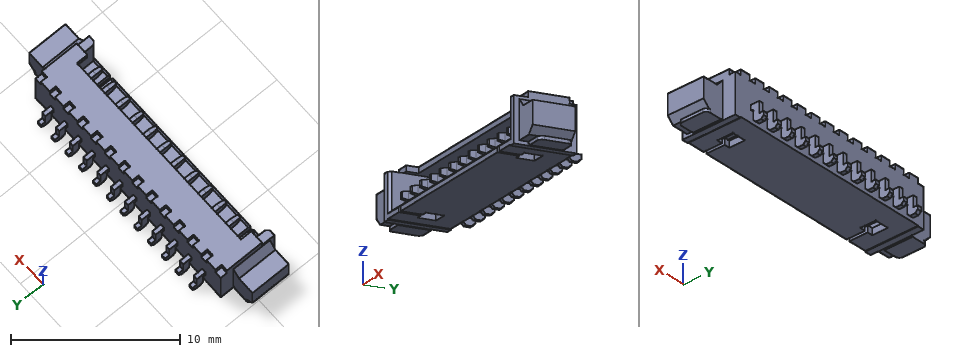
import cadquery as cq

OVERALL_LENGTH = 20.25
HOUSING_LENGTH = 16.8
HOUSING_DEPTH = 4.2
HOUSING_HEIGHT = 3.4
HALF_HOUSING = HOUSING_LENGTH / 2

ROOF_THICKNESS = 0.38
ROOF_UNDERSIDE = HOUSING_HEIGHT - ROOF_THICKNESS
END_WALL = 0.6
FLOOR_TOP = 0.57
CAVITY_DEPTH = 3.0
CAVITY_LENGTH = HOUSING_LENGTH - 2 * END_WALL
MOUTH_BEVEL = 0.18
MOUTH_BEVEL_DEPTH = 0.2
FOOT_HEIGHT = 0.06
FOOT_WIDTH = 0.49

ROOF_SETBACK = 0.97
ROOF_WINDOW_DEPTH = 1.78
ROOF_WINDOW_SIDE = 0.97
CORNER_NOTCH_WIDTH = 0.49
PIN_NOTCH_WIDTH = 0.49
NOTCH_DEPTH = 0.49

SLOT_X = 6.38
SLOT_WIDTH = 0.25
SLOT_LENGTH = 1.45
SLOT_HEAD_WIDTH = 1.07
SLOT_HEAD_END = 2.67

PIN_COUNT = 12
PIN_PITCH = 1.25
PIN_WIDTH = 0.3
BLADE_BOTTOM = 0.97
BLADE_HEIGHT = 0.6
BLADE_TIP_Y = 0.36
TIP_TAPER_LENGTH = 0.55
TIP_TAPER_RISE = 0.1
TIP_SIDE_LENGTH = 0.36
TIP_SIDE_TAPER = 0.05
LEAD_TOP = 1.34
LEAD_THICKNESS = 0.49
LEAD_GAP = 0.18
LEAD_REACH = 1.01
LEAD_TOE_HEIGHT = 0.49
LEAD_BEVEL = 0.2
LEAD_INNER_BEVEL = 0.1

EAR_FRONT_Y = 0.36
EAR_WIDTH = 2.84
EAR_TOP = 2.27
EAR_GUSSET = 0.5
EAR_GUSSET_RISE = 0.55
EAR_BEVEL = 0.49
TAB_INSET = 0.28
TAB_THICKNESS = 0.25
TAB_FRONT_Y = 0.97
TAB_CORNER_RADIUS = 0.3
TAB_HEEL = 0.15


def block(x0, x1, y0, y1, z0, z1):
    """Box between two opposite corners."""
    return cq.Workplane("XY").box(x1 - x0, y1 - y0, z1 - z0, centered=False).translate((x0, y0, z0))


def centred_block(x, width, y0, y1, z0, z1):
    """Box centred on x, as wide along X as given."""
    return block(x - width / 2, x + width / 2, y0, y1, z0, z1)


def pin_positions():
    """X of each pin, evenly spaced about the middle."""
    first = -PIN_PITCH * (PIN_COUNT - 1) / 2
    return [first + i * PIN_PITCH for i in range(PIN_COUNT)]


def make_mouth_bevel():
    """Flared lead-in that widens the cavity at both ends and over the floor towards the front face."""
    def rectangle(y, flare):
        half = CAVITY_LENGTH / 2 + flare
        corners = [
            (-half, y, FLOOR_TOP - flare),
            (half, y, FLOOR_TOP - flare),
            (half, y, ROOF_UNDERSIDE),
            (-half, y, ROOF_UNDERSIDE),
        ]
        return cq.Wire.makePolygon([cq.Vector(*corner) for corner in corners], close=True)

    sections = [rectangle(0, MOUTH_BEVEL), rectangle(MOUTH_BEVEL_DEPTH, 0)]
    return cq.Workplane(obj=cq.Solid.makeLoft(sections, True))


def make_housing():
    """Open-fronted box with its roof, rear edge and floor cut out."""
    housing = centred_block(0, HOUSING_LENGTH, 0, HOUSING_DEPTH, 0, HOUSING_HEIGHT)
    housing = housing.cut(
        centred_block(0, CAVITY_LENGTH, 0, CAVITY_DEPTH, FLOOR_TOP, ROOF_UNDERSIDE)
    ).cut(make_mouth_bevel())

    relief_length = HOUSING_LENGTH - 2 * FOOT_WIDTH
    housing = housing.cut(centred_block(0, relief_length, 0, HOUSING_DEPTH, 0, FOOT_HEIGHT))

    window_length = HOUSING_LENGTH - 2 * ROOF_WINDOW_SIDE
    for length, depth in ((HOUSING_LENGTH, ROOF_SETBACK), (window_length, ROOF_WINDOW_DEPTH)):
        housing = housing.cut(centred_block(0, length, 0, depth, ROOF_UNDERSIDE, HOUSING_HEIGHT))

    notches = [(side * (HALF_HOUSING - CORNER_NOTCH_WIDTH / 2), CORNER_NOTCH_WIDTH) for side in (-1, 1)]
    notches += [(x, PIN_NOTCH_WIDTH) for x in pin_positions()]
    notch_front = HOUSING_DEPTH - NOTCH_DEPTH
    for x, width in notches:
        housing = housing.cut(
            centred_block(x, width, notch_front, HOUSING_DEPTH, ROOF_UNDERSIDE, HOUSING_HEIGHT)
        )

    for x in (-SLOT_X, SLOT_X):
        housing = housing.cut(centred_block(x, SLOT_WIDTH, 0, SLOT_LENGTH, 0, FLOOR_TOP))
        housing = housing.cut(centred_block(x, SLOT_HEAD_WIDTH, SLOT_LENGTH, SLOT_HEAD_END, 0, FLOOR_TOP))
    return housing


def make_pin():
    """Contact at X = 0: tapered blade in the cavity, gull lead behind the housing."""
    blade_top = BLADE_BOTTOM + BLADE_HEIGHT
    taper_end = BLADE_TIP_Y + TIP_TAPER_LENGTH
    lead_inner = HOUSING_DEPTH + LEAD_GAP
    lead_outer = lead_inner + LEAD_THICKNESS
    toe = HOUSING_DEPTH + LEAD_REACH
    wall_middle = (CAVITY_DEPTH + HOUSING_DEPTH) / 2
    profile = [
        (BLADE_TIP_Y, BLADE_BOTTOM + TIP_TAPER_RISE),
        (BLADE_TIP_Y, blade_top - TIP_TAPER_RISE),
        (taper_end, blade_top),
        (wall_middle, blade_top),
        (wall_middle, LEAD_TOP),
        (lead_outer, LEAD_TOP),
        (lead_outer, LEAD_TOE_HEIGHT),
        (toe, LEAD_TOE_HEIGHT),
        (toe, LEAD_BEVEL),
        (toe - LEAD_BEVEL, 0),
        (lead_inner + LEAD_BEVEL, 0),
        (lead_inner, LEAD_BEVEL),
        (lead_inner, BLADE_BOTTOM - LEAD_INNER_BEVEL),
        (lead_inner - LEAD_INNER_BEVEL, BLADE_BOTTOM),
        (taper_end, BLADE_BOTTOM),
    ]
    pin = cq.Workplane("YZ").polyline(profile).close().extrude(PIN_WIDTH / 2, both=True)
    for side in (-1, 1):
        outer = side * PIN_WIDTH / 2
        side_taper = (
            cq.Workplane("XY")
            .polyline([
                (outer, BLADE_TIP_Y),
                (outer - side * TIP_SIDE_TAPER, BLADE_TIP_Y),
                (outer, BLADE_TIP_Y + TIP_SIDE_LENGTH),
            ])
            .close()
            .extrude(HOUSING_HEIGHT)
        )
        pin = pin.cut(side_taper)
    return pin


def make_ear():
    """Right-hand mounting ear with the solder tab under it."""
    tip = OVERALL_LENGTH / 2
    ear_profile = [
        (HALF_HOUSING, TAB_THICKNESS),
        (tip - EAR_BEVEL, TAB_THICKNESS),
        (tip, TAB_THICKNESS + EAR_BEVEL),
        (tip, EAR_TOP),
        (HALF_HOUSING + EAR_GUSSET, EAR_TOP),
        (HALF_HOUSING, EAR_TOP + EAR_GUSSET_RISE),
    ]
    ear_back = EAR_FRONT_Y + EAR_WIDTH
    ear = cq.Workplane("XZ", origin=(0, ear_back, 0)).polyline(ear_profile).close().extrude(EAR_WIDTH)
    tab = (
        block(HALF_HOUSING, tip - TAB_INSET, TAB_FRONT_Y, ear_back, 0, TAB_THICKNESS)
        .edges("|Z and >X").fillet(TAB_CORNER_RADIUS)
        .edges("<X and <Z").chamfer(TAB_HEEL)
    )
    return ear.union(tab)


result = make_housing()
pin = make_pin()
for pin_x in pin_positions():
    result = result.union(pin.translate((pin_x, 0, 0)))
right_ear = make_ear()
result = result.union(right_ear).union(right_ear.mirror("YZ"))